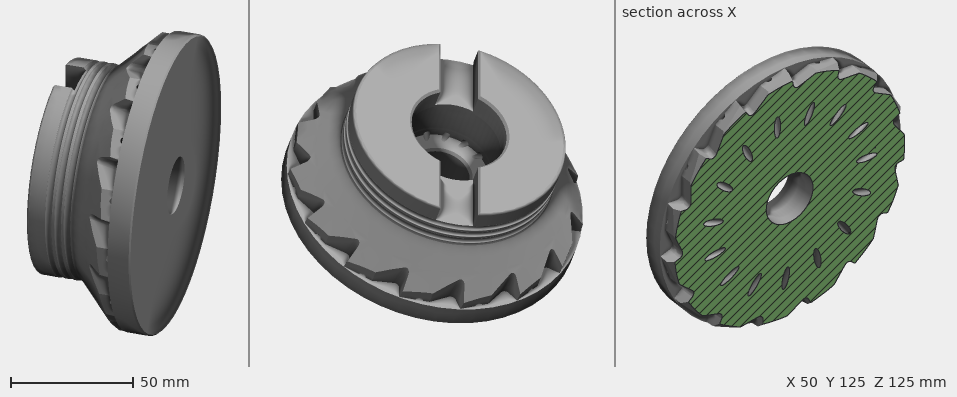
import cadquery as cq
import math


length = 50.0
rim_radius = 62.5
rim_thickness = 9.6
rim_front = length - rim_thickness
rim_inner_radius = 60.0
rim_edge_chamfer = 0.6
hub_radius = 45.0
hub_edge_round = 1.2
cone_offset = 25.4
cone_foot_x = hub_radius - cone_offset
cone_foot_fillet = 1.2
tooth_tip_radius = 62.1

groove_count = 3
groove_radius = 1.4
groove_depth = 1.1
groove_lip_round = 0.2
first_groove_x = 9.5
groove_pitch = 4.0

edge_margin = 0.1

bore_radius = 20.0
bore_relief_radius = 20.1
bore_relief_x = 10.2
bore_relief_end = 24.4
bore_relief_taper = 0.9
bore_depth = 28.7
bore_chamfer = 1.0
through_radius = 12.0
through_chamfer = 1.0

slot_width = 16.0
slot_depth = 9.1
slot_edge_chamfer = 0.7

tooth_count = 15
wall_across = 1.6
wall_undercut = 0.18
corner_height = 54.5
kink_across, kink_height = 14.6, 58.5
runout_across, runout_height = 30.0, 55.4
pocket_top = 67.5
pocket_start = 25.0
pocket_corner_radius = 2.1

hole_diameter = 3.0
hole_inner = (28.2, 1.7, bore_radius)
hole_outer = (40.6, 19.0, 57.6)
hole_overrun = 5.0


def around(tool):
    """Copies of a tool, one for every tooth."""
    step = 360.0 / tooth_count
    return [tool.rotate((0, 0, 0), (1, 0, 0), i * step) for i in range(tooth_count)]


def revolve_about_x(profile):
    return profile.close().revolve(360, (0, 0, 0), (1, 0, 0))


def circles_between(x_min, x_max):
    """Selector for the circular edges about X whose centres lie between two x values."""
    low_corner = (x_min, -edge_margin, -edge_margin)
    high_corner = (x_max, edge_margin, edge_margin)
    return cq.selectors.BoxSelector(low_corner, high_corner)


def make_body():
    half_width = math.sqrt(groove_radius**2 - (groove_radius - groove_depth) ** 2)
    profile = cq.Workplane("XY").lineTo(0, hub_radius)
    for i in range(groove_count):
        x = first_groove_x + i * groove_pitch
        profile = profile.lineTo(x - half_width, hub_radius).threePointArc(
            (x, hub_radius - groove_depth), (x + half_width, hub_radius)
        )
    body = revolve_about_x(
        profile
        .lineTo(cone_foot_x, hub_radius)
        .lineTo(tooth_tip_radius - cone_offset, tooth_tip_radius)
        .lineTo(rim_front, tooth_tip_radius)
        .lineTo(rim_front, rim_inner_radius)
        .lineTo(length, rim_inner_radius)
        .lineTo(length, 0)
    )
    first_lip = first_groove_x - groove_radius
    last_lip = first_groove_x + (groove_count - 1) * groove_pitch + groove_radius
    body = body.edges(circles_between(-edge_margin, edge_margin)).fillet(hub_edge_round)
    cone_foot = circles_between(cone_foot_x - edge_margin, cone_foot_x + edge_margin)
    body = body.edges(cone_foot).fillet(cone_foot_fillet)
    return body.edges(circles_between(first_lip, last_lip)).fillet(groove_lip_round)


def make_bore():
    """Cutter for the chamfered bore, its slightly wider relief and the through hole."""
    return revolve_about_x(
        cq.Workplane("XY")
        .lineTo(0, bore_radius + bore_chamfer)
        .lineTo(bore_chamfer, bore_radius)
        .lineTo(bore_relief_x, bore_radius)
        .lineTo(bore_relief_x, bore_relief_radius)
        .lineTo(bore_relief_end, bore_relief_radius)
        .lineTo(bore_relief_end + bore_relief_taper, bore_radius)
        .lineTo(bore_depth, bore_radius)
        .lineTo(bore_depth, through_radius + through_chamfer)
        .lineTo(bore_depth + through_chamfer, through_radius)
        .lineTo(length, through_radius)
        .lineTo(length, 0)
    )


def make_slot():
    half_width = slot_width / 2
    return (
        cq.Workplane("XY")
        .moveTo(0, half_width + slot_edge_chamfer)
        .lineTo(slot_edge_chamfer, half_width)
        .lineTo(slot_depth, half_width)
        .lineTo(slot_depth, -half_width)
        .lineTo(slot_edge_chamfer, -half_width)
        .lineTo(0, -half_width - slot_edge_chamfer)
        .close()
        .extrude(hub_radius, both=True)
    )


def pocket_outline(x):
    """Pocket cross-section at x; only the leaning wall moves with x."""
    slope = (kink_height - corner_height) / (kink_across - wall_across)
    shift = wall_undercut * (x + cone_offset - corner_height) / (1 + wall_undercut * slope)
    corner = (wall_across + shift, corner_height + slope * shift)
    top_across = wall_across + wall_undercut * (x + cone_offset - pocket_top)
    points = [
        corner,
        (kink_across, kink_height),
        (runout_across, runout_height),
        (runout_across, pocket_top),
        (top_across, pocket_top),
    ]
    return cq.Wire.makePolygon([cq.Vector(x, -a, h) for a, h in points], close=True)


def make_pocket():
    ends = [pocket_outline(pocket_start), pocket_outline(rim_front)]
    pocket = cq.Workplane(cq.Solid.makeLoft(ends, True))
    return pocket.edges("not(#X)").edges("<Z").fillet(pocket_corner_radius)


def make_hole():
    inner, outer = (cq.Vector(x, -a, h) for x, a, h in (hole_inner, hole_outer))
    axis = (outer - inner).normalized()
    start = inner - axis * hole_overrun
    reach = (outer - inner).Length + 2 * hole_overrun
    return cq.Workplane(cq.Solid.makeCylinder(hole_diameter / 2, reach, start, axis))


def make_rim():
    return (
        cq.Workplane("YZ", origin=(rim_front, 0, 0))
        .circle(rim_radius)
        .extrude(rim_thickness)
        .faces(">X").edges().chamfer(rim_edge_chamfer)
        .cut(cq.Workplane("YZ").circle(rim_inner_radius).extrude(length))
    )


result = make_body().cut(make_bore()).cut(make_slot())
for pocket in around(make_pocket()):
    result = result.cut(pocket)
for hole in around(make_hole()):
    result = result.cut(hole)
result = result.union(make_rim()).clean()